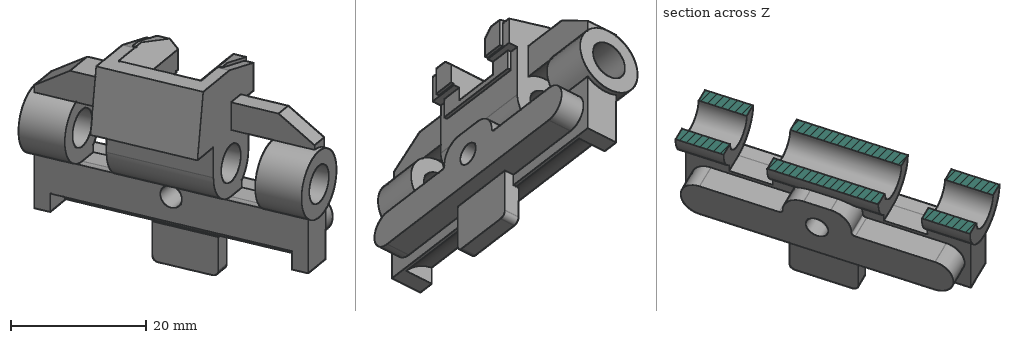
import cadquery as cq
import math


tube_radius = 5.45
bore_radius = 3.05
tube_inner_x = 15.95
tube_half_span = 23.75
block_half = 9.0

head_top = 15.5
head_bottom = 5.0
head_front_bottom = -10.45
head_front_top = -8.65
cheek_angle = 15
outer_cheek_rear = 7.05
outer_cheek_bottom = 8.9
outer_slope_start = -0.45

inner_half = 7.5
rear_face = 7.55
inner_cheek_bottom = 9.1
inner_slope_start = 1.55
inner_neck_rear = 6.05

pocket_top_half = 6.95
pocket_floor_half = 3.95
pocket_floor = 6.5

bar_half = 23.0
bar_front = -2.0
bar_rear = 3.4
bar_bottom = -14.0
arm_top = 10.0
arm_end_top = 6.2
arm_slope_start = 16.95
right_arm_front = 0
right_arm_rear = 3.05

relief_half = 20.3
relief_radius = 8.4
relief_center_y = -3.75
relief_center_z = -19.2

plate_half = 22.0
plate_top = -6.05
plate_bottom = -12.05
raised_top = -2.05
raised_corner = 3.35
raised_fillet = 0.55

tab_half = 5.55
tab_front = 2.4
tab_rear = 5.05
tab_bottom = -20.5
tab_corner = 1.0

hole_radius = 1.8
hole_z = -6.75


def box(x_range, y_range, z_range):
    """Box between two limits on each axis."""
    spans = [high - low for low, high in (x_range, y_range, z_range)]
    corner = (x_range[0], y_range[0], z_range[0])
    return cq.Workplane("XY").box(*spans, centered=False).translate(corner)


def cylinder_x(radius, x_start, x_end, y=0, z=0):
    """Cylinder lying along X."""
    return cq.Workplane("YZ", origin=(x_start, y, z)).circle(radius).extrude(x_end - x_start)


def prism_x(points, half_width):
    """Y-Z outline extruded equally to both sides of X = 0."""
    return cq.Workplane("YZ").polyline(points).close().extrude(half_width, both=True)


def prism_y(points, y_front, y_rear):
    """X-Z outline extruded from y_front back to y_rear."""
    plane = cq.Workplane("XZ", origin=(0, y_front, 0))
    return plane.polyline(points).close().extrude(y_front - y_rear)


def cheek_rear_top(slope_start, rear):
    """Height at the rear of the top slope of a cheek."""
    return head_top - (rear - slope_start) * math.tan(math.radians(cheek_angle))


def arm(side, y_front, y_rear):
    """Arm reaching from the block wall out over one tube, its outer end sloping down."""
    outline = [
        (side * inner_half, 0),
        (side * inner_half, arm_top),
        (side * arm_slope_start, arm_top),
        (side * bar_half, arm_end_top),
        (side * bar_half, 0),
    ]
    return prism_y(outline, y_front, y_rear)


def bar_and_arms():
    """Lower bar and arms, shaped to the tube outline, with the bar flat at the back of each gap."""
    bar = box((-bar_half, bar_half), (bar_front, bar_rear), (bar_bottom, 0))
    relief = cylinder_x(relief_radius, -relief_half, relief_half, relief_center_y, relief_center_z)
    left_arm = arm(-1, bar_front, bar_rear)
    right_arm = arm(1, right_arm_front, right_arm_rear)
    tube_space = cylinder_x(tube_radius, -tube_half_span, tube_half_span)
    body = bar.cut(relief).union(left_arm).union(right_arm).cut(tube_space)
    for x_range in ((-tube_inner_x, -block_half), (block_half, tube_inner_x)):
        body = body.cut(box(x_range, (0, bar_rear), (-tube_radius, 0)))
    return body


def central_block():
    """Barrel around the bore with the overhanging head and its pocket."""
    outer_outline = [
        (-tube_radius, 0),
        (-tube_radius, head_bottom),
        (head_front_bottom, head_bottom),
        (head_front_top, head_top),
        (outer_slope_start, head_top),
        (outer_cheek_rear, cheek_rear_top(outer_slope_start, outer_cheek_rear)),
        (outer_cheek_rear, outer_cheek_bottom),
        (tube_radius, outer_cheek_bottom),
        (tube_radius, 0),
    ]
    inner_outline = [
        (0, tube_radius),
        (0, head_top),
        (inner_slope_start, head_top),
        (rear_face, cheek_rear_top(inner_slope_start, rear_face)),
        (rear_face, inner_cheek_bottom),
        (inner_neck_rear, inner_cheek_bottom),
        (inner_neck_rear, tube_radius),
    ]
    pocket_slope_bottom = head_top - (pocket_top_half - pocket_floor_half)
    pocket_outline = [
        (-pocket_top_half, head_top),
        (-pocket_floor_half, pocket_slope_bottom),
        (-pocket_floor_half, pocket_floor),
        (pocket_floor_half, pocket_floor),
        (pocket_floor_half, pocket_slope_bottom),
        (pocket_top_half, head_top),
    ]
    barrel = cylinder_x(tube_radius, -block_half, block_half)
    head = prism_x(outer_outline, block_half).union(prism_x(inner_outline, inner_half))
    pocket = prism_y(pocket_outline, -tube_radius, rear_face)
    return barrel.union(head).cut(pocket)


def rear_plate():
    """Round-ended plate with a raised, round-cornered middle."""
    height = plate_top - plate_bottom
    middle_z = (plate_top + plate_bottom) / 2
    depth = rear_face - bar_rear
    plane = cq.Workplane("XZ", origin=(0, rear_face, middle_z))
    plate = plane.slot2D(2 * plate_half, height).extrude(depth)
    raised = box((-tab_half, tab_half), (bar_rear, rear_face), (middle_z, raised_top))
    raised = raised.edges("|Y and >Z").fillet(raised_corner)
    plate = plate.union(raised)
    foot = cq.selectors.BoxSelector(
        (-tab_half - raised_fillet, bar_rear, plate_top - raised_fillet / 2),
        (tab_half + raised_fillet, rear_face, plate_top + raised_fillet / 2),
    )
    return plate.edges("|Y").edges(foot).fillet(raised_fillet)


def tab():
    """Tongue hanging below the bar with rounded lower corners, rooted behind the bar."""
    tongue = box((-tab_half, tab_half), (tab_front, tab_rear), (tab_bottom, bar_bottom))
    tongue = tongue.edges("|Y and <Z").fillet(tab_corner)
    root = box((-tab_half, tab_half), (bar_rear, tab_rear), (bar_bottom, plate_bottom))
    return tongue.union(root)


left_tube = cylinder_x(tube_radius, -tube_half_span, -tube_inner_x)
right_tube = cylinder_x(tube_radius, tube_inner_x, tube_half_span)
bore = cylinder_x(bore_radius, -tube_half_span, tube_half_span)
hole_plane = cq.Workplane("XZ", origin=(0, rear_face, hole_z))
cross_hole = hole_plane.circle(hole_radius).extrude(rear_face - head_front_bottom)

result = bar_and_arms()
for feature in (left_tube, right_tube, central_block(), rear_plate(), tab()):
    result = result.union(feature)
result = result.cut(bore).cut(cross_hole)